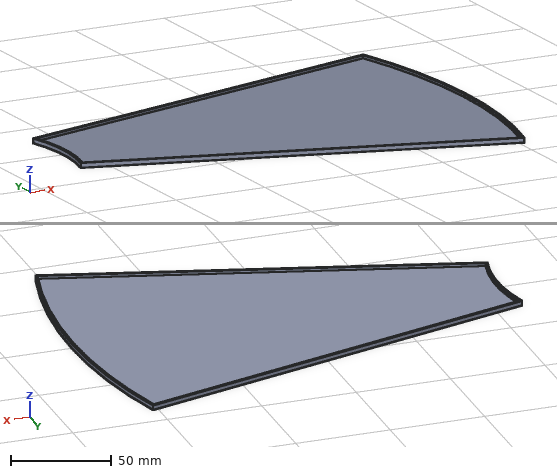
import cadquery as cq
import math

length = 229.39
half_width = 86.685
half_angle = 15.68
thickness = 2.54
wall = 1.0

sin_half = math.sin(math.radians(half_angle))
cos_half = math.cos(math.radians(half_angle))
outer_radius = half_width / sin_half
inner_radius = (outer_radius - length) / cos_half


def ring_sector(inset, bottom, top):
    """Ring sector from Z = bottom to Z = top, with all four sides moved inward by inset."""
    height = top - bottom
    ring = (
        cq.Workplane("XY", origin=(0, 0, bottom))
        .circle(outer_radius - inset)
        .circle(inner_radius + inset)
        .extrude(height)
    )
    apex_x = inset / sin_half
    wedge_end_x = apex_x + outer_radius
    wedge_half_width = outer_radius * sin_half / cos_half
    wedge = (
        cq.Workplane("XY", origin=(0, 0, bottom))
        .moveTo(apex_x, 0)
        .lineTo(wedge_end_x, -wedge_half_width)
        .lineTo(wedge_end_x, wedge_half_width)
        .close()
        .extrude(height)
    )
    return ring.intersect(wedge)


plate = ring_sector(0, 0, thickness)
recess = ring_sector(wall, wall, thickness)
result = plate.cut(recess)